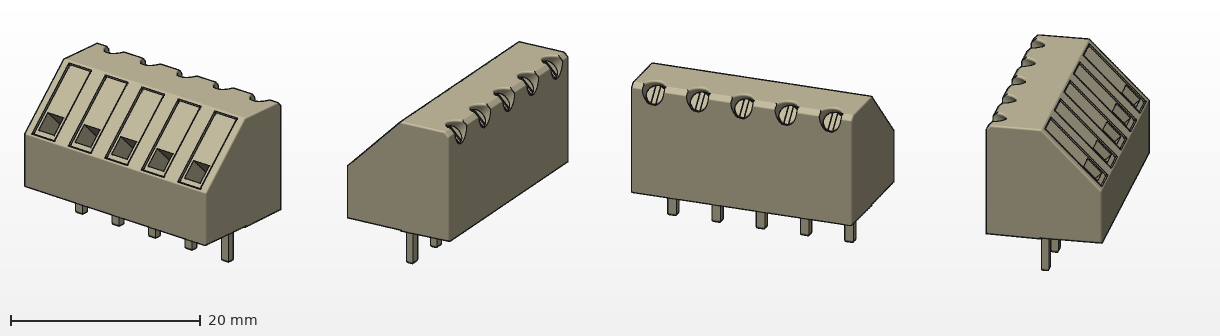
import cadquery as cq

length = 25.0
depth = 12.5
height = 12.5
slope_run = 6.5
back_chamfer = 0.5
edge_radius = 0.2
base_drop = 0.1
base_step_y = 6.5

terminal_count = 5
pitch = length / terminal_count
terminal_xs = [pitch * (i + 0.5) for i in range(terminal_count)]

window_width = 3.1
window_margin = 0.18
window_low_y = window_margin
window_high_y = slope_run - window_margin
lever_side_gap = 0.15
lever_sink = 0.18
wire_hole_size = 2.15
wire_hole_y = 1.5
wire_hole_depth = 4.0

screw_hole_diameter = 2.45
screw_head_diameter = 2.15
screw_inset = 0.08
screw_head_radius = 0.15
screw_head_height = 0.5
screw_head_depth = 1.05
screw_hole_depth = screw_head_depth + screw_head_height
screw_slot_width = 0.55
screw_slot_depth = 0.15

pin_width = 1.0
pin_thickness = 0.8
pin_length = 4.6
pin_embed = 1.25
pin_y = 6.52
pin_tip_radius = 0.35

clearance = 2.5


def slope_z(y):
    """Height of the sloped face at a given Y."""
    return height - slope_run + y


def extrude_profile(points, x_center, width):
    """Extrude a (Y, Z) outline along X, centred on x_center."""
    sketch = cq.Workplane("YZ", origin=(x_center, 0, 0)).polyline(points).close()
    return sketch.extrude(width / 2, both=True)


def screw_plane(x_center, distance_in):
    """Plane square to a screw axis; its normal points up and back, out of the housing."""
    axis_point = (x_center, depth - screw_inset, height - back_chamfer + screw_inset)
    plane = cq.Plane(origin=axis_point, xDir=(1, 0, 0), normal=(0, 1, 1))
    return cq.Workplane(plane).workplane(offset=-distance_in)


def make_housing():
    """Solid housing with its upper edges and both end outlines rounded."""
    outline = [
        (0, 0),
        (base_step_y, 0),
        (base_step_y, -base_drop),
        (depth, 0),
        (depth, height - back_chamfer),
        (depth - back_chamfer, height),
        (slope_run, height),
        (0, height - slope_run),
    ]
    body = extrude_profile(outline, length / 2, length)
    upper_half = cq.selectors.BoxSelector(
        (0, -clearance, height / 4), (length, depth + clearance, height + clearance)
    )
    body = body.edges("|X").edges(upper_half).fillet(edge_radius)
    return body.faces("<X or >X").edges().fillet(edge_radius)


def make_screw_hole_envelope():
    """Block flush with the housing top, with screw holes whose top rims are rounded."""
    block = cq.Workplane("XY", origin=(length / 2, depth / 2, height))
    block = block.rect(length + 2 * clearance, depth + 2 * clearance).extrude(-height - clearance)
    for x in terminal_xs:
        hole = screw_plane(x, screw_hole_depth).circle(screw_hole_diameter / 2)
        block = block.cut(hole.extrude(screw_hole_depth + 2 * clearance))
    return block.faces(">Z").edges("%ELLIPSE").fillet(edge_radius)


def make_screw_head(x):
    """Slotted head with a rounded rim, standing on the hole floor."""
    head = screw_plane(x, screw_hole_depth)
    head = head.circle(screw_head_diameter / 2).extrude(screw_head_height)
    head = head.faces(">(0, 1, 1)").edges().fillet(screw_head_radius)
    slot = screw_plane(x, screw_head_depth)
    slot = slot.rect(screw_slot_width, screw_head_diameter).extrude(-screw_slot_depth)
    return head.cut(slot)


def make_window(x):
    """Square-cornered notch with a level floor and an upright rear wall."""
    floor_z = slope_z(window_low_y)
    outline = [
        (window_low_y, floor_z),
        (window_high_y, floor_z),
        (window_high_y, slope_z(window_high_y)),
    ]
    return extrude_profile(outline, x, window_width)


def make_lever(x):
    """Wedge that fills the window up to a face sunk below the slope."""
    floor_z = slope_z(window_low_y)
    outline = [
        (window_low_y + lever_sink, floor_z),
        (window_high_y, floor_z),
        (window_high_y, slope_z(window_high_y) - lever_sink),
    ]
    return extrude_profile(outline, x, window_width - 2 * lever_side_gap)


def make_wire_hole(x):
    """Square hole running into the lever, square to its face."""
    center = (x, wire_hole_y, slope_z(wire_hole_y) - lever_sink)
    lever_face = cq.Plane(origin=center, xDir=(1, 0, 0), normal=(0, -1, 1))
    hole = cq.Workplane(lever_face).rect(wire_hole_size, wire_hole_size)
    return hole.extrude(-wire_hole_depth)


def make_pin(x):
    """Rectangular pin with a rounded tip, reaching up into the housing."""
    pin = cq.Workplane("XY").box(pin_width, pin_thickness, pin_length + pin_embed)
    pin = pin.faces("<Z").edges().fillet(pin_tip_radius)
    return pin.translate((x, pin_y, (pin_embed - pin_length) / 2))


result = make_housing().intersect(make_screw_hole_envelope())
for x in terminal_xs:
    result = result.cut(make_window(x)).union(make_lever(x)).cut(make_wire_hole(x))
    result = result.union(make_screw_head(x)).union(make_pin(x))